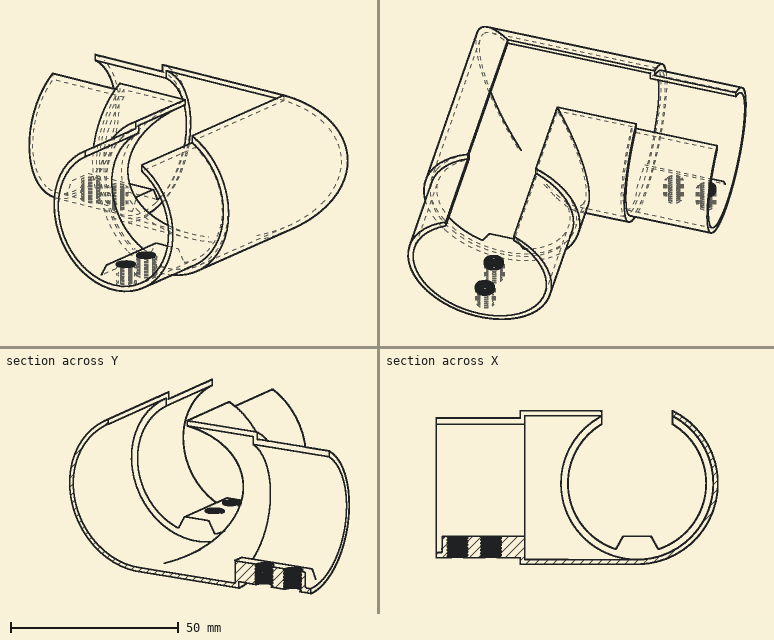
import cadquery as cq

OVERALL = 84.1
ELBOW_RADIUS = 24.15
ELBOW_BORE_RADIUS = 22.7
SPIGOT_RADIUS = 22.2
BORE_RADIUS = 20.6
SPIGOT_LENGTH = 25.1
COLLAR_LENGTH = 26.5
SLOT_WIDTH = 21.0

PAD_TOP_Z = -15.7
PAD_BASE_Z = -BORE_RADIUS - 0.1
PAD_TOP_WIDTH = 8.4
PAD_SIDE_SLOPE = 0.55
PAD_END_GAP = 1.85
PAD_FILLET = 0.5

HOLE_DIAMETER = 5.0
THREAD_DIAMETER = 6.0
THREAD_PITCH = 1.0
THREAD_ROOT_FLAT = 0.13
THREAD_MOUTH_FLAT = 0.8
THREAD_TURNS_BELOW_PAD_TOP = 7.8
HOLE_FIRST = 6.4
HOLE_SPACING = 10.0

ARM_LENGTH = OVERALL - ELBOW_RADIUS
ELBOW_END = ARM_LENGTH - SPIGOT_LENGTH
COLLAR_END = ARM_LENGTH - COLLAR_LENGTH


def rod(radius, start, end):
    """Cylinder along -Y between two distances from the axis crossing."""
    return cq.Workplane("XZ", origin=(0, -start, 0)).circle(radius).extrude(end - start)


def mirror_across_miter(arm):
    """Turn the -Y arm into the -X arm by swapping X and Y."""
    return arm.mirror("XZ").rotate((0, 0, 0), (0, 0, 1), 90)


def mitered_elbow(radius):
    """Two crossing cylinders, each kept on its own side of the 45 degree miter."""
    start = -2 * ELBOW_RADIUS
    reach = 2 * OVERALL
    own_side = (
        cq.Workplane("XY", origin=(0, 0, -OVERALL))
        .polyline([(reach, reach), (-reach, -reach), (reach, -reach)])
        .close()
        .extrude(2 * OVERALL)
    )
    arm = rod(radius, start, ELBOW_END).intersect(own_side)
    return arm.union(mirror_across_miter(arm))


def pad():
    """Tapered clamping pad, still reaching down into the spigot wall."""
    top = PAD_TOP_WIDTH / 2
    base = top + PAD_SIDE_SLOPE * (PAD_TOP_Z - PAD_BASE_Z)
    outline = [(-base, PAD_BASE_Z), (-top, PAD_TOP_Z), (top, PAD_TOP_Z), (base, PAD_BASE_Z)]
    block = (
        cq.Workplane("XZ", origin=(0, -COLLAR_END, 0))
        .polyline(outline)
        .close()
        .extrude(COLLAR_LENGTH - PAD_END_GAP)
    )
    end_corners = block.faces("<Y").edges("not(|X)")
    return end_corners.fillet(PAD_FILLET)


def pad_edges(low, high):
    """Selector box for the side and outer end edges of the pad in a height band."""
    half_width = SLOT_WIDTH / 2
    return cq.selectors.BoxSelector(
        (-half_width, -ARM_LENGTH + PAD_END_GAP / 2, low),
        (half_width, -COLLAR_END - PAD_FILLET, high),
    )


def screw_hole():
    """Core of a vertical tapped hole on the Z axis, longer than the thread at both ends."""
    top = PAD_TOP_Z + 2 * THREAD_PITCH
    length = top + ELBOW_RADIUS
    return cq.Workplane("XY", origin=(0, 0, top)).circle(HOLE_DIAMETER / 2).extrude(-length)


def thread_groove():
    """Helical groove of the tapped hole, running past both of its ends."""
    bottom = PAD_TOP_Z - THREAD_TURNS_BELOW_PAD_TOP * THREAD_PITCH
    height = PAD_TOP_Z + THREAD_PITCH - bottom
    core = HOLE_DIAMETER / 2
    overlap = 0.04
    helix = cq.Wire.makeHelix(THREAD_PITCH, height, core)
    profile = [
        (core - overlap, -THREAD_MOUTH_FLAT / 2),
        (THREAD_DIAMETER / 2, -THREAD_ROOT_FLAT / 2),
        (THREAD_DIAMETER / 2, THREAD_ROOT_FLAT / 2),
        (core - overlap, THREAD_MOUTH_FLAT / 2),
    ]
    groove = cq.Workplane("XZ").polyline(profile).close().sweep(cq.Workplane(helix), isFrenet=True)
    return groove.translate((0, 0, bottom))


def spigot():
    """Spigot with its seating ring and filleted, drilled pad."""
    ring = rod(SPIGOT_RADIUS, COLLAR_END, ARM_LENGTH)
    ring = ring.union(rod(ELBOW_BORE_RADIUS, COLLAR_END, ELBOW_END))
    ring = ring.cut(rod(BORE_RADIUS, COLLAR_END, ARM_LENGTH))
    body = ring.union(pad())
    body = body.edges(pad_edges(PAD_TOP_Z - 0.1, PAD_TOP_Z + 0.1)).fillet(PAD_FILLET)
    body = body.edges(pad_edges(-BORE_RADIUS, -BORE_RADIUS + 1.7)).fillet(PAD_FILLET)
    for distance in (HOLE_FIRST, HOLE_FIRST + HOLE_SPACING):
        center = (0, distance - ARM_LENGTH, 0)
        body = body.cut(thread_groove().translate(center))
        body = body.cut(screw_hole().translate(center))
    return body


def top_slot():
    """L-shaped opening along the top of both arms."""
    half = SLOT_WIDTH / 2
    length = ARM_LENGTH + half
    middle = half - length / 2
    leg = cq.Workplane("XY").center(0, middle).rect(SLOT_WIDTH, length).extrude(ELBOW_RADIUS)
    return leg.union(mirror_across_miter(leg))


elbow = mitered_elbow(ELBOW_RADIUS).cut(mitered_elbow(ELBOW_BORE_RADIUS))
front_spigot = spigot()
side_spigot = front_spigot.rotate((0, 0, 0), (0, 0, 1), -90)
result = elbow.union(front_spigot).union(side_spigot).cut(top_slot())